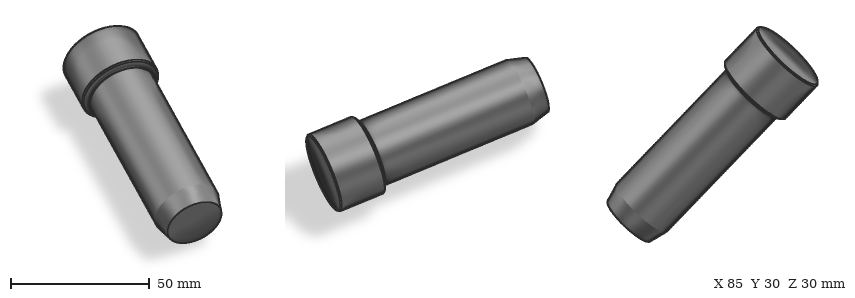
import cadquery as cq
import math

length = 85.0
head_diameter = 30.0
shank_diameter = 25.0

head_length = 18.0
head_chamfer = 0.5

groove_radius = 0.5

taper_length = 7.0
taper_angle = 15.0

head_radius = head_diameter / 2
shank_radius = shank_diameter / 2
tip_radius = shank_radius - taper_length * math.tan(math.radians(taper_angle))

head_face = -length / 2
shoulder = head_face + head_length
groove_centre = shoulder + groove_radius
groove_end = groove_centre + groove_radius
tip_face = length / 2

result = (
    cq.Workplane("XY")
    .moveTo(head_face, 0)
    .lineTo(head_face, head_radius - head_chamfer)
    .lineTo(head_face + head_chamfer, head_radius)
    .lineTo(shoulder - head_chamfer, head_radius)
    .lineTo(shoulder, head_radius - head_chamfer)
    .lineTo(shoulder, shank_radius)
    .threePointArc((groove_centre, shank_radius - groove_radius), (groove_end, shank_radius))
    .lineTo(tip_face - taper_length, shank_radius)
    .lineTo(tip_face, tip_radius)
    .lineTo(tip_face, 0)
    .close()
    .revolve(360, (0, 0, 0), (1, 0, 0))
)